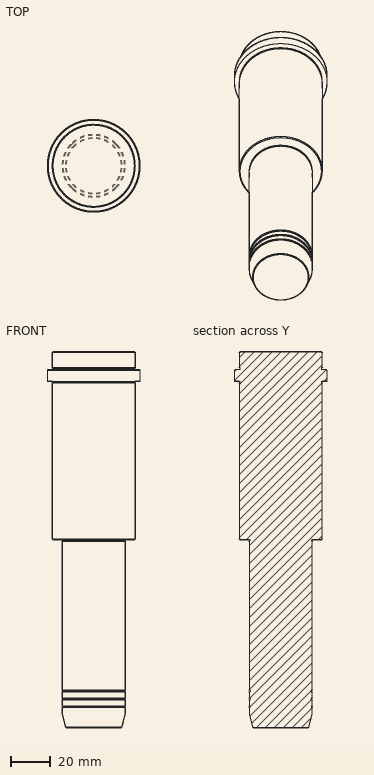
import cadquery as cq

pin_diameter = 32.0
body_diameter = 42.0
flange_diameter = 47.0
pin_radius = pin_diameter / 2
body_radius = body_diameter / 2
flange_radius = flange_diameter / 2

total_length = 190.0
body_bottom = total_length / 2
flange_bottom = 175.0
flange_top = 181.0

edge_break = 0.48

tip_length = 7.0
tip_radius = 14.2
tip_edge_break = 0.4

groove_width = 1.0
groove_depth = groove_width / 2
groove_count = 3
groove_pitch = 4.0
lowest_groove_height = 10.6

neck_relief_width = 1.0
shoulder_relief_width = 0.8
relief_depth = 0.4


def cylinder(radius, bottom, top):
    return cq.Workplane("XY").workplane(offset=bottom).circle(radius).extrude(top - bottom)


def ring_groove(shaft_radius, bottom, width, depth):
    """V-shaped groove cutter running around a shaft of the given radius."""
    top = bottom + width
    outer_radius = shaft_radius + depth
    return (
        cq.Workplane("XZ")
        .moveTo(shaft_radius, bottom)
        .lineTo(shaft_radius - depth, (bottom + top) / 2)
        .lineTo(shaft_radius, top)
        .lineTo(outer_radius, top)
        .lineTo(outer_radius, bottom)
        .close()
        .revolve(360, (0, 0, 0), (0, 1, 0))
    )


def make_tip():
    """Cone at the lower end of the pin, with its end edge broken."""
    return (
        cq.Workplane("XZ")
        .lineTo(tip_radius - tip_edge_break, 0)
        .lineTo(tip_radius, tip_edge_break)
        .lineTo(pin_radius, tip_length)
        .lineTo(0, tip_length)
        .close()
        .revolve(360, (0, 0, 0), (0, 1, 0))
    )


def make_pin():
    """Lower shaft with its tip, ring grooves and the relief under the body."""
    pin = make_tip().union(cylinder(pin_radius, tip_length, body_bottom))
    for index in range(groove_count):
        groove_bottom = lowest_groove_height + index * groove_pitch - groove_width / 2
        pin = pin.cut(ring_groove(pin_radius, groove_bottom, groove_width, groove_depth))
    relief_bottom = body_bottom - shoulder_relief_width
    return pin.cut(ring_groove(pin_radius, relief_bottom, shoulder_relief_width, relief_depth))


def make_body():
    """Upper shaft with relief grooves above and below the flange."""
    body = cylinder(body_radius, body_bottom, total_length)
    body = body.faces("<Z or >Z").chamfer(edge_break)
    body = body.cut(ring_groove(body_radius, flange_top, neck_relief_width, relief_depth))
    relief_bottom = flange_bottom - shoulder_relief_width
    return body.cut(ring_groove(body_radius, relief_bottom, shoulder_relief_width, relief_depth))


def make_flange():
    """Collar around the body, chamfered on its upper edge."""
    return cylinder(flange_radius, flange_bottom, flange_top).faces(">Z").chamfer(edge_break)


result = make_pin().union(make_body()).union(make_flange())